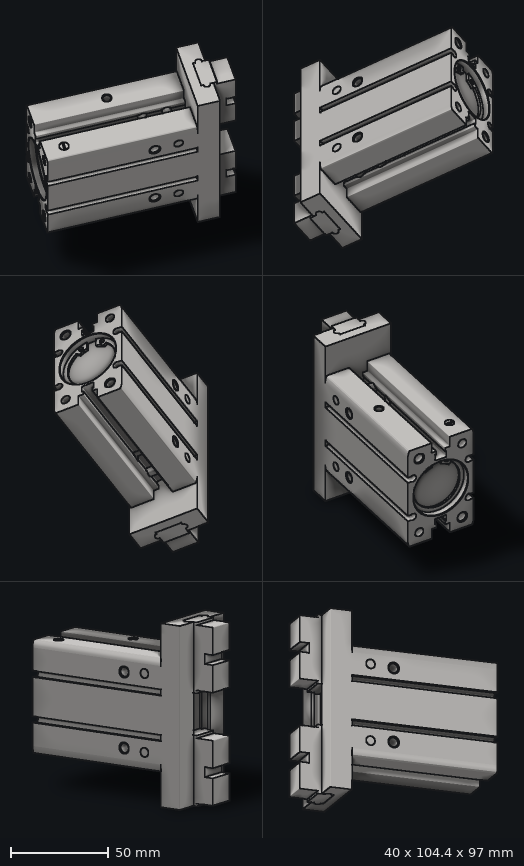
import cadquery as cq
import math

LENGTH = 104.4
WIDTH = 40.0
HEIGHT = 97.0

BODY_LENGTH = 80.4
BODY_HEIGHT = 60.0
GUIDE_FRONT = 92.4
CORNER_RADIUS = 1.0
FLANK_RADIUS = 10.0
FLANK_ANGLE = math.radians(20)

SLOT_MOUTH_WIDTH = 11.0
SLOT_MOUTH_DEPTH = 6.1
SLOT_NECK_WIDTH = 5.3
SLOT_NECK_DEPTH = 8.2
SLOT_BASE_WIDTH = 6.8
SLOT_DEPTH = 11.8
SLOT_FILLET = 0.5

EDGE_FILLET = 0.3
SELECT_MARGIN = 0.1

GROOVE_DIAMETER = 4.0
GROOVE_MOUTH = 3.3
GROOVE_INSET = 3.0
GROOVE_Z = 12.0

BORE_DIAMETER = 33.0
BORE_DEPTH = 5.2
BORE_CHAMFER = 0.3
RING_THICKNESS = 1.4
RING_INNER_RADIUS = 14.04
RING_GAP = 5.3
EAR_INNER_RADIUS = 12.0
EAR_TIP_X = 7.1
EAR_ROOT_X = 8.7
EAR_HOLE_DIAMETER = 2.5
EAR_HOLE_X = 6.1
EAR_HOLE_Z = 13.0

REAR_HOLE_DIAMETER = 5.0
REAR_HOLE_X = 13.0
REAR_HOLE_Z = 23.1
REAR_HOLE_DEPTH = 14.6

CROSS_HOLE_DIAMETER = 5.0
CROSS_HOLE_Y = 57.4
CROSS_HOLE_Z = 20.0
THREAD_CHAMFER = 0.5
PIN_DIAMETER = 4.9
PIN_Y = 70.2
PIN_Z = 20.8

PORT_DIAMETER = 4.2
PORT_CHAMFER = 0.4
PORT_X = -12.0
PORT_Y = 40.9
PORT_DEPTH = 8.4
PLUG_DIAMETER = 5.0
PLUG_X = 12.1
PLUG_Y = 11.0
PLUG_SLOT_LENGTH = 4.2
PLUG_SLOT_WIDTH = 0.7
PLUG_SLOT_DEPTH = 0.6
FLUSH_RECESS = 0.1

JAW_WIDTH = 15.2
JAW_HEIGHT = 37.4
JAW_END_STEP = 1.5
JAW_SHOULDER = 94.5
JAW_NOTCH_WIDTH = 5.3
JAW_NOTCH_DEPTH = 5.0
RAIL_BOTTOM = 85.8
RAIL_BEAD_RADIUS = 1.8
RAIL_BEAD_Y = 88.8

SIDE = WIDTH / 2
BODY_TOP = BODY_HEIGHT / 2
BORE_RADIUS = BORE_DIAMETER / 2


def y_cylinder(diameter, y_start, length, x, z):
    """Cylinder along +Y."""
    return cq.Workplane("XZ", origin=(x, y_start, z)).circle(diameter / 2).extrude(-length)


def x_cylinder(diameter, x_start, length, y, z):
    """Cylinder along +X."""
    return cq.Workplane("YZ", origin=(x_start, y, z)).circle(diameter / 2).extrude(length)


def countersink(diameter, chamfer, point, direction):
    """Cone that chamfers the mouth of a hole going in the given direction."""
    radius = diameter / 2
    cone = cq.Solid.makeCone(radius + chamfer, radius, chamfer, cq.Vector(*point), cq.Vector(*direction))
    return cq.Workplane(cone)


def body_corner_points():
    """Top right corner of the body: a flat flank arc that runs into a tight corner arc."""
    flank_x = SIDE - FLANK_RADIUS
    corner_x = flank_x + (FLANK_RADIUS - CORNER_RADIUS) * math.cos(FLANK_ANGLE)
    corner_z = BODY_TOP - CORNER_RADIUS
    flank_z = corner_z - (FLANK_RADIUS - CORNER_RADIUS) * math.sin(FLANK_ANGLE)

    def on_arc(center_x, center_z, radius, angle):
        return (center_x + radius * math.cos(angle), center_z + radius * math.sin(angle))

    middle_angle = (FLANK_ANGLE + math.pi / 2) / 2
    return [
        (SIDE, flank_z),
        on_arc(flank_x, flank_z, FLANK_RADIUS, FLANK_ANGLE / 2),
        on_arc(flank_x, flank_z, FLANK_RADIUS, FLANK_ANGLE),
        on_arc(corner_x, corner_z, CORNER_RADIUS, middle_angle),
        (corner_x, BODY_TOP),
    ]


def make_body():
    right_top = body_corner_points()
    left_top = [(-x, z) for x, z in reversed(right_top)]
    left_bottom = [(-x, -z) for x, z in right_top]
    right_bottom = [(x, -z) for x, z in reversed(right_top)]
    outline = cq.Workplane("XZ").moveTo(*right_bottom[-1])
    for corner in (right_top, left_top, left_bottom, right_bottom):
        start, first_middle, joint, second_middle, end = corner
        outline = outline.lineTo(*start)
        outline = outline.threePointArc(first_middle, joint).threePointArc(second_middle, end)
    return outline.close().extrude(-BODY_LENGTH)


def make_t_slot():
    """T-slot cutter in the top of the body."""

    def channel(width, depth):
        plane = cq.Workplane("XZ", origin=(0, 0, BODY_TOP - depth / 2))
        return plane.rect(width, depth).extrude(-BODY_LENGTH)

    base_height = SLOT_DEPTH - SLOT_NECK_DEPTH
    base = (
        cq.Workplane("XZ", origin=(0, 0, BODY_TOP - SLOT_DEPTH + base_height / 2))
        .rect(SLOT_BASE_WIDTH, base_height)
        .extrude(-BODY_LENGTH)
        .edges("|Y and <Z")
        .fillet(SLOT_FILLET)
    )
    mouth = channel(SLOT_MOUTH_WIDTH, SLOT_MOUTH_DEPTH)
    neck = channel(SLOT_NECK_WIDTH, SLOT_NECK_DEPTH)
    return mouth.union(neck).union(base)


def cut_t_slots(body):
    """T-slots in the top and bottom, with rounded mouth, shelf and neck edges."""
    t_slot = make_t_slot()
    half_width = SLOT_MOUTH_WIDTH / 2 + SELECT_MARGIN
    low = BODY_TOP - SLOT_MOUTH_DEPTH - SELECT_MARGIN
    high = BODY_TOP + SELECT_MARGIN
    body = body.cut(t_slot).cut(t_slot.mirror("XY"))
    for z_range in ((low, high), (-high, -low)):
        around_mouth = cq.selectors.BoxSelector(
            (-half_width, SELECT_MARGIN, z_range[0]),
            (half_width, BODY_LENGTH - SELECT_MARGIN, z_range[1]),
        )
        body = body.edges(around_mouth).fillet(EDGE_FILLET)
    return body


def make_sensor_groove(side, z):
    """Round-bottomed groove cutter in one side (-1 or 1) of the body."""
    center_x = side * (SIDE - GROOVE_INSET)
    near_surface_x = side * (SIDE - SELECT_MARGIN)
    round_part = y_cylinder(GROOVE_DIAMETER, 0, BODY_LENGTH, center_x, z)
    mouth = (
        cq.Workplane("XZ", origin=(side * (SIDE - GROOVE_INSET / 2), 0, z))
        .rect(GROOVE_INSET, GROOVE_MOUTH)
        .extrude(-BODY_LENGTH)
    )
    groove = round_part.union(mouth)
    around_neck = cq.selectors.BoxSelector(
        (min(center_x, near_surface_x), SELECT_MARGIN, z - GROOVE_DIAMETER),
        (max(center_x, near_surface_x), BODY_LENGTH - SELECT_MARGIN, z + GROOVE_DIAMETER),
    )
    neck_edges = groove.edges("|Y").edges(around_neck)
    return neck_edges.fillet(EDGE_FILLET)


def make_rail_section(y_front):
    """Jaw rail outline from its bottom to y_front, with a round bead on each flank."""
    half = JAW_WIDTH / 2
    bead_start = RAIL_BEAD_Y - RAIL_BEAD_RADIUS
    bead_end = RAIL_BEAD_Y + RAIL_BEAD_RADIUS
    return (
        cq.Workplane("XY")
        .moveTo(-half, RAIL_BOTTOM)
        .lineTo(half, RAIL_BOTTOM)
        .lineTo(half, bead_start)
        .threePointArc((half + RAIL_BEAD_RADIUS, RAIL_BEAD_Y), (half, bead_end))
        .lineTo(half, y_front)
        .lineTo(-half, y_front)
        .lineTo(-half, bead_end)
        .threePointArc((-half - RAIL_BEAD_RADIUS, RAIL_BEAD_Y), (-half, bead_start))
        .close()
    )


def cut_bore(housing):
    bore = y_cylinder(BORE_DIAMETER, 0, BORE_DEPTH, 0, 0)
    return housing.cut(bore).cut(countersink(BORE_DIAMETER, BORE_CHAMFER, (0, 0, 0), (0, 1, 0)))


def cut_rear_holes(housing):
    """Four holes, of which the two on one diagonal have a chamfered mouth."""
    for x_sign in (-1, 1):
        for z_sign in (-1, 1):
            x = x_sign * REAR_HOLE_X
            z = z_sign * REAR_HOLE_Z
            housing = housing.cut(y_cylinder(REAR_HOLE_DIAMETER, 0, REAR_HOLE_DEPTH, x, z))
            if x_sign != z_sign:
                housing = housing.cut(countersink(REAR_HOLE_DIAMETER, THREAD_CHAMFER, (x, 0, z), (0, 1, 0)))
    return housing


def cut_cross_holes(housing):
    for z in (-CROSS_HOLE_Z, CROSS_HOLE_Z):
        housing = housing.cut(x_cylinder(CROSS_HOLE_DIAMETER, -SIDE, WIDTH, CROSS_HOLE_Y, z))
        for side in (-1, 1):
            mouth = (side * SIDE, CROSS_HOLE_Y, z)
            housing = housing.cut(countersink(CROSS_HOLE_DIAMETER, THREAD_CHAMFER, mouth, (-side, 0, 0)))
    return housing


def add_fulcrum_pins(housing):
    """Pins that bridge the T-slots, with their ends just below the side faces."""
    for z in (-PIN_Z, PIN_Z):
        bridge = x_cylinder(PIN_DIAMETER, -SLOT_BASE_WIDTH / 2, SLOT_BASE_WIDTH, PIN_Y, z)
        housing = housing.union(bridge)
        for x_start in (-SIDE, SIDE - FLUSH_RECESS):
            housing = housing.cut(x_cylinder(PIN_DIAMETER, x_start, FLUSH_RECESS, PIN_Y, z))
    return housing


def cut_port_and_plug(housing):
    port_plane = cq.Workplane("XY", origin=(PORT_X, PORT_Y, BODY_TOP))
    port = port_plane.circle(PORT_DIAMETER / 2).extrude(-PORT_DEPTH)
    port_chamfer = countersink(PORT_DIAMETER, PORT_CHAMFER, (PORT_X, PORT_Y, BODY_TOP), (0, 0, -1))
    plug_plane = cq.Workplane("XY", origin=(PLUG_X, PLUG_Y, BODY_TOP))
    plug_recess = plug_plane.circle(PLUG_DIAMETER / 2).extrude(-FLUSH_RECESS)
    plug_slot = plug_plane.rect(PLUG_SLOT_LENGTH, PLUG_SLOT_WIDTH).extrude(-PLUG_SLOT_DEPTH)
    return housing.cut(port).cut(port_chamfer).cut(plug_recess).cut(plug_slot)


def make_housing():
    guide_depth = GUIDE_FRONT - BODY_LENGTH
    guide = (
        cq.Workplane("XZ", origin=(0, BODY_LENGTH, 0))
        .rect(WIDTH, HEIGHT)
        .extrude(-guide_depth)
        .edges("|Z and >Y")
        .fillet(EDGE_FILLET)
    )
    rail_slot = make_rail_section(GUIDE_FRONT).extrude(HEIGHT / 2, both=True)
    housing = cut_t_slots(make_body()).union(guide).cut(rail_slot)
    for side in (-1, 1):
        for z in (-GROOVE_Z, GROOVE_Z):
            housing = housing.cut(make_sensor_groove(side, z))
    housing = cut_bore(housing)
    housing = cut_rear_holes(housing)
    housing = cut_cross_holes(housing)
    housing = add_fulcrum_pins(housing)
    return cut_port_and_plug(housing)


def make_retaining_ring():
    """Open ring with two eyed ears beside the gap, resting on the bore floor."""

    def height_on(radius, x):
        return math.sqrt(radius**2 - x**2)

    gap_x = RING_GAP / 2
    ear_middle_x = (gap_x + EAR_TIP_X) / 2
    outer_end_z = height_on(BORE_RADIUS, gap_x)
    ear_end_z = height_on(EAR_INNER_RADIUS, gap_x)
    ear_middle_z = height_on(EAR_INNER_RADIUS, ear_middle_x)
    ear_tip_z = height_on(EAR_INNER_RADIUS, EAR_TIP_X)
    ear_root_z = height_on(RING_INNER_RADIUS, EAR_ROOT_X)
    ring_y = BORE_DEPTH - RING_THICKNESS
    ring = (
        cq.Workplane("XZ", origin=(0, ring_y, 0))
        .moveTo(gap_x, outer_end_z)
        .threePointArc((0, -BORE_RADIUS), (-gap_x, outer_end_z))
        .lineTo(-gap_x, ear_end_z)
        .threePointArc((-ear_middle_x, ear_middle_z), (-EAR_TIP_X, ear_tip_z))
        .lineTo(-EAR_ROOT_X, ear_root_z)
        .threePointArc((0, -RING_INNER_RADIUS), (EAR_ROOT_X, ear_root_z))
        .lineTo(EAR_TIP_X, ear_tip_z)
        .threePointArc((ear_middle_x, ear_middle_z), (gap_x, ear_end_z))
        .close()
        .extrude(-RING_THICKNESS)
    )
    for x in (-EAR_HOLE_X, EAR_HOLE_X):
        ring = ring.cut(y_cylinder(EAR_HOLE_DIAMETER, ring_y, RING_THICKNESS, x, EAR_HOLE_Z))
    return ring


def make_upper_jaw():
    """Jaw at the +Z end: a rail in the guide with a notched finger block in front of it."""
    jaw_bottom = HEIGHT / 2 - JAW_HEIGHT
    jaw_middle = HEIGHT / 2 - JAW_HEIGHT / 2
    finger_height = JAW_HEIGHT - 2 * JAW_END_STEP
    rail = make_rail_section(JAW_SHOULDER).extrude(JAW_HEIGHT).translate((0, 0, jaw_bottom))
    finger = (
        cq.Workplane("XZ", origin=(0, JAW_SHOULDER, jaw_middle))
        .rect(JAW_WIDTH, finger_height)
        .extrude(JAW_SHOULDER - LENGTH)
        .edges("|X and >Y")
        .fillet(EDGE_FILLET)
    )
    notch = (
        cq.Workplane("XZ", origin=(0, LENGTH, jaw_middle))
        .rect(JAW_WIDTH, JAW_NOTCH_WIDTH)
        .extrude(JAW_NOTCH_DEPTH)
    )
    jaw = rail.union(finger).cut(notch)
    half_width = JAW_WIDTH / 2 + SELECT_MARGIN
    around_steps = cq.selectors.BoxSelector(
        (-half_width, JAW_SHOULDER - SELECT_MARGIN, jaw_bottom),
        (half_width, JAW_SHOULDER + SELECT_MARGIN, HEIGHT / 2),
    )
    step_corners = jaw.edges("|Z").edges(around_steps)
    return step_corners.fillet(EDGE_FILLET)


housing = make_housing()
retaining_ring = make_retaining_ring()
upper_jaw = make_upper_jaw()
jaws = [upper_jaw.rotate((0, 0, 0), (0, 1, 0), angle) for angle in (0, 180)]

result = cq.Compound.makeCompound([housing.val(), retaining_ring.val(), *[jaw.val() for jaw in jaws]])